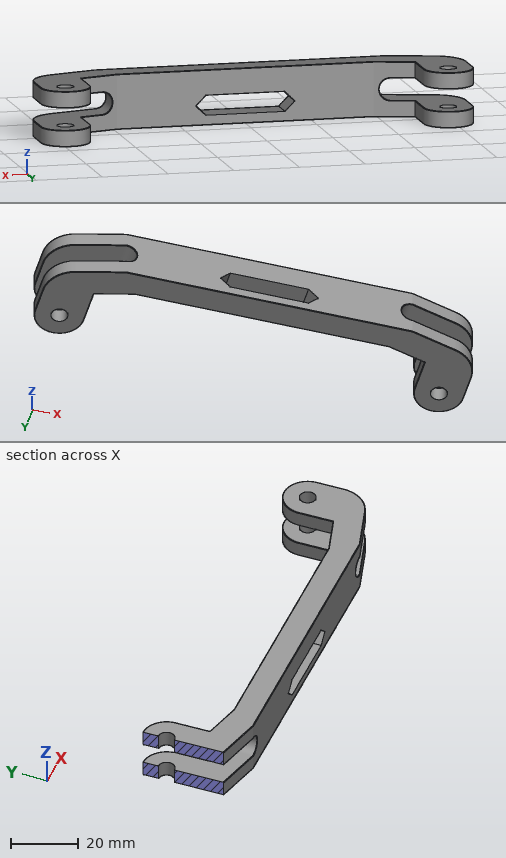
import cadquery as cq
import math

LENGTH = 131.45
DEPTH = 29.5

PLATE_THICKNESS = 5.0
SLOT_WIDTH = 6.7
HEIGHT = 2 * PLATE_THICKNESS + SLOT_WIDTH
EAR_WIDTH = 15.0
EAR_RADIUS = EAR_WIDTH / 2
PIN_DIAMETER = 5.0
PIN_X = LENGTH / 2 - EAR_RADIUS
PIN_Y = DEPTH - EAR_RADIUS

BAR_THICKNESS = 8.0
SLOPE_ANGLE = 15.0
OUTER_BEND_X = 43.95
INNER_BEND_X = 39.0
CORNER_RADIUS = 10.0
SLOT_END_CENTER_X = OUTER_BEND_X
EDGE_CHAMFER = 0.2

WINDOW_LENGTH = 30.0
WINDOW_HEIGHT = 6.0
WINDOW_MARGIN = 3.0


def make_body():
    """U-shaped outline extruded over the full height, with its outer corners rounded."""
    slope = math.tan(math.radians(SLOPE_ANGLE))
    outer_x = LENGTH / 2
    inner_x = outer_x - EAR_WIDTH
    outer_corner_y = (outer_x - OUTER_BEND_X) * slope
    inner_corner_y = BAR_THICKNESS + (inner_x - INNER_BEND_X) * slope

    outline = (
        cq.Workplane("XY", origin=(0, 0, -HEIGHT / 2))
        .moveTo(-OUTER_BEND_X, 0)
        .lineTo(OUTER_BEND_X, 0)
        .lineTo(outer_x, outer_corner_y)
        .lineTo(outer_x, PIN_Y)
        .threePointArc((PIN_X, DEPTH), (inner_x, PIN_Y))
        .lineTo(inner_x, inner_corner_y)
        .lineTo(INNER_BEND_X, BAR_THICKNESS)
        .lineTo(-INNER_BEND_X, BAR_THICKNESS)
        .lineTo(-inner_x, inner_corner_y)
        .lineTo(-inner_x, PIN_Y)
        .threePointArc((-PIN_X, DEPTH), (-outer_x, PIN_Y))
        .lineTo(-outer_x, outer_corner_y)
        .close()
    )
    body = outline.extrude(HEIGHT)
    for side in (-1, 1):
        corner = cq.selectors.NearestToPointSelector((side * outer_x, outer_corner_y, 0))
        body = body.edges("|Z").edges(corner).fillet(CORNER_RADIUS)
    return body


def chamfer_rims(body):
    """Break the rims of the top, the bottom and the slots.

    Edges along Y include the smooth seams inside the slots, so they are not picked;
    the straight ear edges are still broken, as they run smoothly into the ear arcs.
    """
    return body.edges("not(|Y or |Z)").chamfer(EDGE_CHAMFER)


def make_end_slot(side):
    """Slot between the plates of one end, with a round inner end, open outwards."""
    half_length = LENGTH / 2
    outer_end_x = half_length + SLOT_WIDTH
    inner_end_x = SLOT_END_CENTER_X - SLOT_WIDTH / 2
    return (
        cq.Workplane("XZ")
        .center(side * (inner_end_x + outer_end_x) / 2, 0)
        .slot2D(outer_end_x - inner_end_x, SLOT_WIDTH)
        .extrude(-DEPTH)
    )


def make_window():
    """Long hexagon through the bar, set low in its height."""
    half_length = WINDOW_LENGTH / 2
    half_height = WINDOW_HEIGHT / 2
    half_flat = half_length - half_height
    center_z = -HEIGHT / 2 + WINDOW_MARGIN + half_height
    return (
        cq.Workplane("XZ", origin=(0, 0, center_z))
        .polyline([
            (-half_length, 0),
            (-half_flat, half_height),
            (half_flat, half_height),
            (half_length, 0),
            (half_flat, -half_height),
            (-half_flat, -half_height),
        ])
        .close()
        .extrude(-BAR_THICKNESS)
    )


def make_pin_holes():
    """One pin hole through both plates of each end."""
    return (
        cq.Workplane("XY", origin=(0, 0, -HEIGHT / 2))
        .pushPoints([(-PIN_X, PIN_Y), (PIN_X, PIN_Y)])
        .circle(PIN_DIAMETER / 2)
        .extrude(HEIGHT)
    )


result = make_body()
for end_side in (-1, 1):
    result = result.cut(make_end_slot(end_side))
result = chamfer_rims(result)
result = result.cut(make_window()).cut(make_pin_holes())